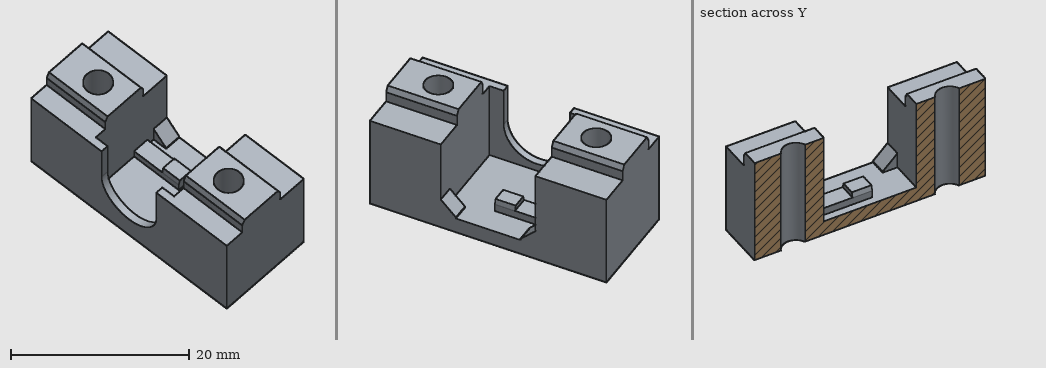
import cadquery as cq

length = 30.0
depth = 12.7
shoulder_height = 12.0
total_height = 14.0

rail_front = 2.55
rail_back = 8.8
bevel_width = 0.4
bevel_height = 0.7

cavity_width = 12.0
front_wall = 1.0
floor_height = 2.0

slot_width = 8.4
slot_bottom = 3.0

hole_diameter = 3.4
hole_spacing = 20.0

wedge_width = 1.92
wedge_depth = 2.2
wedge_height = 2.0
wedge_lip = 0.15

bar_front = 7.3
bar_depth = 2.2
bar_end = 0.85
bar_height = 1.0
catch_length = 2.55
catch_top = 3.63
catch_taper = 0.18


def box(x_start, x_end, y_start, y_end, z_start, z_end):
    """Box given by its limits along each axis."""
    size = (x_end - x_start, y_end - y_start, z_end - z_start)
    return cq.Workplane("XY").box(*size, centered=False).translate((x_start, y_start, z_start))


def extrude_along_x(profile, x_start, x_end):
    """Extrude a closed outline of (Y, Z) points along X."""
    return cq.Workplane("YZ", origin=(x_start, 0, 0)).polyline(profile).close().extrude(x_end - x_start)


def make_body():
    bevel_start = total_height - bevel_height
    profile = [
        (0, 0),
        (depth, 0),
        (depth, shoulder_height),
        (rail_back, shoulder_height),
        (rail_back, bevel_start),
        (rail_back - bevel_width, total_height),
        (rail_front + bevel_width, total_height),
        (rail_front, bevel_start),
        (rail_front, shoulder_height),
        (0, shoulder_height),
    ]
    return extrude_along_x(profile, -length / 2, length / 2)


def make_cavity():
    return box(-cavity_width / 2, cavity_width / 2, front_wall, depth, floor_height, total_height)


def make_slot():
    radius = slot_width / 2
    arc_center = slot_bottom + radius
    return (
        cq.Workplane("XZ")
        .moveTo(-radius, total_height)
        .lineTo(-radius, arc_center)
        .threePointArc((0, slot_bottom), (radius, arc_center))
        .lineTo(radius, total_height)
        .close()
        .extrude(-front_wall)
    )


def make_holes():
    rail_center = (rail_front + rail_back) / 2
    return (
        cq.Workplane("XY")
        .pushPoints([(side * hole_spacing / 2, rail_center) for side in (-1, 1)])
        .circle(hole_diameter / 2)
        .extrude(total_height)
    )


def make_wedge(side):
    """Ramp falling from the cavity wall; side is -1 for left and 1 for right."""
    wall = side * cavity_width / 2
    toe = wall - side * wedge_width
    profile = [
        (wall, floor_height),
        (toe, floor_height),
        (toe, floor_height + wedge_lip),
        (wall, floor_height + wedge_height),
    ]
    return cq.Workplane("XZ", origin=(0, depth, 0)).polyline(profile).close().extrude(wedge_depth)


def make_bar():
    bar_back = bar_front + bar_depth
    bar_top = floor_height + bar_height
    bar = box(-cavity_width / 2, bar_end, bar_front, bar_back, floor_height, bar_top)
    catch_profile = [
        (bar_front, bar_top),
        (bar_back, bar_top),
        (bar_back - catch_taper, catch_top),
        (bar_front + catch_taper, catch_top),
    ]
    return bar.union(extrude_along_x(catch_profile, bar_end - catch_length, bar_end))


result = make_body().cut(make_cavity()).cut(make_slot()).cut(make_holes())
for side in (-1, 1):
    result = result.union(make_wedge(side))
result = result.union(make_bar())